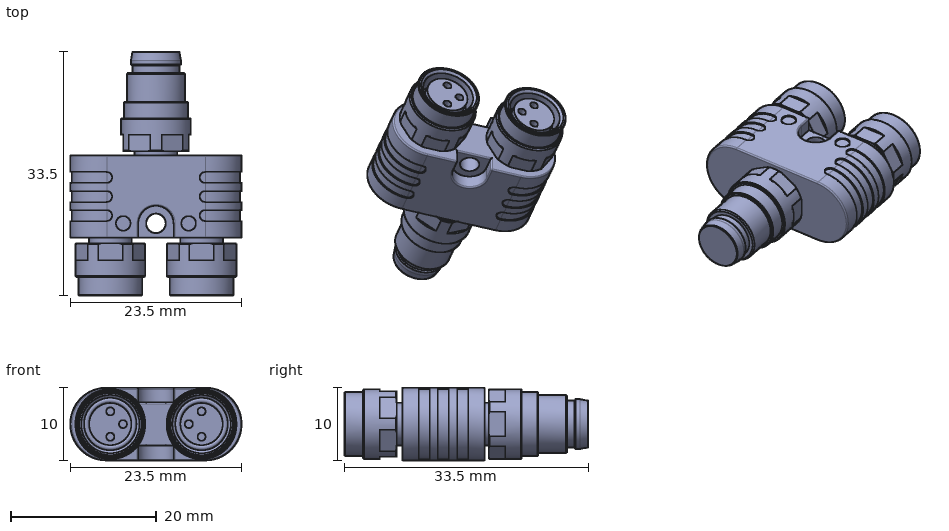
import cadquery as cq

total_length = 33.45

body_width = 23.5
body_height = 10.0
body_start = 7.9
body_length = 11.37
body_end = body_start + body_length
body_middle = body_start + body_length / 2
edge_round = 0.2

groove_count = 3
groove_width = 1.5
groove_pitch = 2.6
groove_depth = 0.2
end_axis_x = (body_width - body_height) / 2

hole_diameter = 2.65
hole_setback = 2.0
hole_y = body_start + hole_setback
slot_width = 4.82
web_thickness = 5.92

label_diameter = 2.0
label_depth = 0.2
label_x = 4.48

neck_diameter = 5.9
sleeve_diameter = 8.8
collar_diameter = 9.6
flat_distance = 9.0
flat_length = 2.3
flat_count = 6
small_chamfer = 0.15
large_chamfer = 0.2

socket_spacing = 12.5
socket_collar_start = 2.5
socket_collar_end = 7.15
mouth_diameter = 8.0
mouth_taper_length = 0.35
bore_diameter = 7.2
insert_diameter = 5.8
bead_base_y = 3.35
contact_face_y = 0.67
contact_hole_diameter = 1.1
contact_hole_offset = 1.75
contact_hole_depth = 2.0

plug_collar_start = 19.77
plug_collar_end = 24.32
plug_sleeve_end = 26.55
plug_barrel_diameter = 8.0
plug_barrel_end = 30.57
plug_groove_diameter = 6.5
plug_groove_end = 31.5
plug_head_diameter = 6.9
plug_head_start = 31.7
plug_head_taper_start = 32.25
plug_tip_diameter = 6.5
plug_tip_chamfer = 0.1


def rod(diameter, start, end):
    """Cylinder about the Y axis from start to end."""
    return cq.Workplane("XZ", origin=(0, start, 0)).circle(diameter / 2).extrude(start - end)


def stadium(width, height, start, length):
    """Block along Y whose left and right sides are full half rounds."""
    return cq.Workplane("XZ", origin=(0, start, 0)).slot2D(width, height).extrude(-length)


def cut_wrench_flats(solid, start, first_angle):
    """Cut evenly spaced flats around the Y axis; first_angle is measured from +Z."""
    reach = collar_diameter
    cutter = cq.Workplane("XY").box(reach, flat_length, reach).translate(
        (0, start + flat_length / 2, (flat_distance + reach) / 2)
    )
    for index in range(flat_count):
        angle = first_angle + index * 360 / flat_count
        solid = solid.cut(cutter.rotate((0, 0, 0), (0, 1, 0), angle))
    return solid


def end_groove(center_y, side):
    """Ring around one rounded body end, ending in half rounds on the flat faces."""
    start = center_y - groove_width / 2
    outer_width = body_width + 2 * groove_depth
    outer_height = body_height + 2 * groove_depth
    inner_width = body_width - 2 * groove_depth
    inner_height = body_height - 2 * groove_depth
    ring = stadium(outer_width, outer_height, start, groove_width).cut(
        stadium(inner_width, inner_height, start, groove_width)
    )
    footprint = (
        cq.Workplane("XY", origin=(0, 0, -body_height))
        .center(side * (end_axis_x + body_height / 2), center_y)
        .slot2D(body_height + groove_width, groove_width)
        .extrude(2 * body_height)
    )
    return ring.intersect(footprint)


def mounting_recess(side):
    """Recess above (side = 1) or below (side = -1) the web, open towards -Y."""
    depth = (body_height - web_thickness) / 2
    return (
        cq.Workplane("XY", origin=(0, hole_y, side * web_thickness / 2))
        .moveTo(-slot_width / 2, -hole_y)
        .lineTo(-slot_width / 2, 0)
        .threePointArc((0, slot_width / 2), (slot_width / 2, 0))
        .lineTo(slot_width / 2, -hole_y)
        .close()
        .extrude(side * depth)
    )


def make_body():
    body = stadium(body_width, body_height, body_start, body_length)
    for side in (-1, 1):
        body = body.cut(mounting_recess(side))
    recess_rims = body.faces("<Z or >Z").edges(
        cq.selectors.BoxSelector(
            (-slot_width, body_start + edge_round, -body_height),
            (slot_width, body_middle, body_height),
        )
    )
    body = body.faces("<Y or >Y").edges().add(recess_rims).fillet(edge_round)

    for index in range(groove_count):
        center_y = body_middle + (index - (groove_count - 1) / 2) * groove_pitch
        for side in (-1, 1):
            body = body.cut(end_groove(center_y, side))

    hole = cq.Workplane("XY").center(0, hole_y).circle(hole_diameter / 2)
    body = body.cut(hole.extrude(body_height / 2, both=True))
    labels = (
        cq.Workplane("XY", origin=(0, hole_y, body_height / 2))
        .pushPoints([(-label_x, 0), (label_x, 0)])
        .circle(label_diameter / 2)
        .extrude(-label_depth)
    )
    return body.cut(labels)


def make_socket(side):
    """Socket on the left (side = -1) or right (side = 1), keyed towards the middle."""
    sleeve = rod(sleeve_diameter, 0, socket_collar_start).faces("<Y").chamfer(small_chamfer)
    collar = rod(collar_diameter, socket_collar_start, socket_collar_end)
    collar = collar.faces("<Y").chamfer(large_chamfer).faces(">Y").chamfer(small_chamfer)
    collar = cut_wrench_flats(collar, socket_collar_end - flat_length, 0)
    neck = rod(neck_diameter, socket_collar_end, body_start)
    socket = sleeve.union(collar).union(neck)

    gap_width = (bore_diameter - insert_diameter) / 2
    mouth = (
        cq.Workplane("XY")
        .lineTo(mouth_diameter / 2, 0)
        .lineTo(bore_diameter / 2, mouth_taper_length)
        .lineTo(bore_diameter / 2, bead_base_y)
        .threePointArc(
            ((bore_diameter - gap_width) / 2, bead_base_y - gap_width / 2),
            (insert_diameter / 2, bead_base_y),
        )
        .lineTo(insert_diameter / 2, contact_face_y)
        .lineTo(0, contact_face_y)
        .close()
        .revolve(360, (0, 0), (0, 1))
    )
    contact_points = [
        (0, contact_hole_offset),
        (0, -contact_hole_offset),
        (-side * contact_hole_offset, 0),
    ]
    contact_holes = (
        cq.Workplane("XZ", origin=(0, contact_face_y, 0))
        .pushPoints(contact_points)
        .circle(contact_hole_diameter / 2)
        .extrude(-contact_hole_depth)
    )
    socket = socket.cut(mouth).cut(contact_holes)
    return socket.translate((side * socket_spacing / 2, 0, 0))


def make_plug():
    neck = rod(neck_diameter, body_end, plug_collar_start)
    collar = rod(collar_diameter, plug_collar_start, plug_collar_end)
    collar = collar.faces("<Y or >Y").chamfer(small_chamfer)
    collar = cut_wrench_flats(collar, plug_collar_start, 180 / flat_count)
    sleeve = rod(sleeve_diameter, plug_collar_end, plug_sleeve_end)
    sleeve = sleeve.faces(">Y").chamfer(small_chamfer)
    barrel = rod(plug_barrel_diameter, plug_sleeve_end, plug_barrel_end)
    barrel = barrel.faces(">Y").chamfer(large_chamfer)

    tip_radius = plug_tip_diameter / 2
    head = (
        cq.Workplane("XY")
        .moveTo(0, plug_barrel_end)
        .lineTo(plug_groove_diameter / 2, plug_barrel_end)
        .lineTo(plug_groove_diameter / 2, plug_groove_end)
        .lineTo(plug_head_diameter / 2, plug_head_start)
        .lineTo(plug_head_diameter / 2, plug_head_taper_start)
        .lineTo(tip_radius, total_length - plug_tip_chamfer)
        .lineTo(tip_radius - plug_tip_chamfer, total_length)
        .lineTo(0, total_length)
        .close()
        .revolve(360, (0, 0), (0, 1))
    )
    return neck.union(collar).union(sleeve).union(barrel).union(head)


result = make_body().union(make_plug()).union(make_socket(-1)).union(make_socket(1))